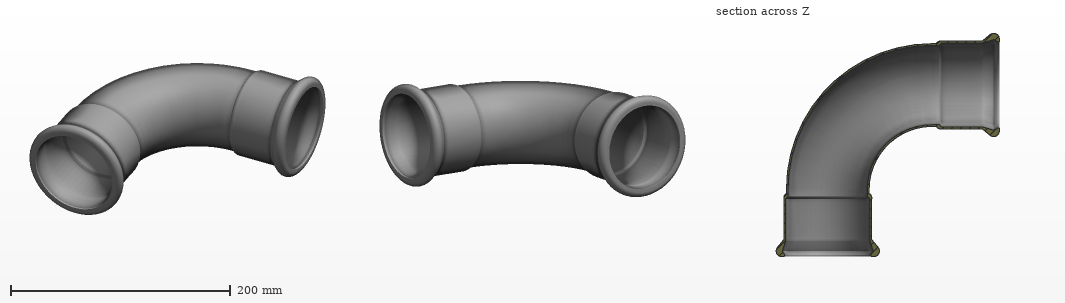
import cadquery as cq
import math

overall_length = 204.3
lip_outer_diameter = 94.8
lip_outer_radius = lip_outer_diameter / 2
end_distance = overall_length - lip_outer_radius

tube_radius = 76.0 / 2
tube_bore_radius = 72.1 / 2
sleeve_radius = 80.7 / 2
seal_start_radius = 82.5 / 2
seal_end_radius = 77.0 / 2
sleeve_bore_radius = 76.6 / 2
mouth_radius = 78.3 / 2

flare_end = 15.7
sleeve_end = 52.7
shoulder_end = 57.8
bend_start = 61.5
mouth_depth = 1.6
seal_start = 5.1
seal_end = 14.3
sleeve_bore_start = 15.7
stop_start = 52.7
stop_end = 55.0

lip_round_radius = 5.3
lip_flare_angle = 42.0
lip_centre_radius = lip_outer_radius - lip_round_radius

bend_radius = end_distance - bend_start


def lip_point(angle):
    """Point (radius, depth) on the lip arc; angle 0 is the widest point."""
    turn = math.radians(angle)
    return (
        lip_centre_radius + lip_round_radius * math.cos(turn),
        lip_round_radius * (1 + math.sin(turn)),
    )


def revolve_about_axis(profile):
    return profile.close().revolve(360, (0, 0, 0), (0, 1, 0))


def socket_outside():
    """Lip, flare, sleeve and shoulder as a solid along +Y from the open end."""
    shoulder_height = sleeve_radius - tube_radius
    shoulder_middle = (sleeve_radius - shoulder_height * (1 - math.sqrt(0.5)),
                       sleeve_end + (shoulder_end - sleeve_end) * math.sqrt(0.5))
    return revolve_about_axis(
        cq.Workplane("XY")
        .lineTo(lip_centre_radius, 0)
        .threePointArc(lip_point(0), lip_point(lip_flare_angle))
        .lineTo(sleeve_radius, flare_end)
        .lineTo(sleeve_radius, sleeve_end)
        .threePointArc(shoulder_middle, (tube_radius, shoulder_end))
        .lineTo(tube_radius, bend_start)
        .lineTo(0, bend_start)
    )


def socket_inside():
    """Mouth, conical seal groove, sleeve bore and tapered tube stop as a solid along +Y."""
    return revolve_about_axis(
        cq.Workplane("XY")
        .lineTo(mouth_radius, 0)
        .lineTo(mouth_radius, mouth_depth)
        .lineTo(seal_start_radius, seal_start)
        .lineTo(seal_end_radius, seal_end)
        .lineTo(sleeve_bore_radius, sleeve_bore_start)
        .lineTo(sleeve_bore_radius, stop_start)
        .lineTo(tube_bore_radius, stop_end)
        .lineTo(tube_bore_radius, bend_start)
        .lineTo(0, bend_start)
    )


def bend(radius):
    """Quarter-turn round bar joining the inner ends of the two sockets."""
    return (
        cq.Workplane("XZ", origin=(0, -bend_radius, 0))
        .circle(radius)
        .revolve(90, (bend_radius, 0, 0), (bend_radius, -1, 0))
    )


def elbow(socket, radius):
    """Bend with one socket opening toward -Y and another toward +X."""
    front_socket = socket.translate((0, -end_distance, 0))
    side_socket = front_socket.rotate((0, 0, 0), (0, 0, 1), 90)
    return bend(radius).union(front_socket).union(side_socket)


result = elbow(socket_outside(), tube_radius).cut(elbow(socket_inside(), tube_bore_radius))